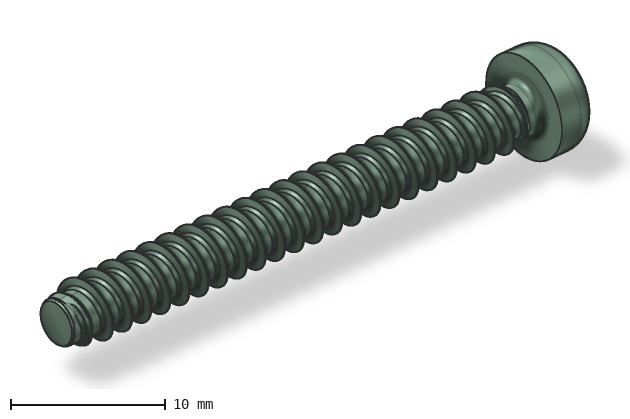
import cadquery as cq
import math

total_length = 43.2
head_radius = 3.75
head_height = 3.25
head_round = head_height / 2

shank_length = total_length - head_height
core_diameter = 3.33
core_radius = core_diameter / 2
tip_radius = 1.55
tip_chamfer_length = 0.2
tip_crown = 0.05

neck_radius = 1.8
neck_length = 1.12
neck_fillet = 0.55
neck_taper_length = 0.17

crest_radius = 2.35
threaded_length = 35.85
thread_turns = 22
pitch = threaded_length / thread_turns
first_crest = 2.85
lead_turns = 2
tail_turns = 1

crest_half_width = 0.05
blade_radius = 1.8
blade_half_width = 0.17
flare_half_width = 0.48
buried_radius = 1.5

tip_runout_start = 0.25
tip_runout_length = 1.95
head_runout_start = 0.5
head_runout_length = 1.85
foot_depth = 0.05
envelope_clearance = 0.45

seam_plane = cq.Plane(origin=(0, 0, 0), xDir=(0, 0, 1), normal=(-1, 0, 0))


def make_body():
    """Head, neck, core and tip as one revolved half section."""
    taper_end = -(neck_length + neck_taper_length)
    tip_edge = tip_crown - shank_length
    crown_middle = tip_crown / 4 - shank_length
    arc_middle = 1 - math.sqrt(0.5)
    fillet_middle = neck_fillet * arc_middle
    round_middle = head_round * arc_middle
    return (
        cq.Workplane(seam_plane)
        .moveTo(0, -shank_length)
        .threePointArc((tip_radius / 2, crown_middle), (tip_radius, tip_edge))
        .lineTo(core_radius, tip_chamfer_length - shank_length)
        .lineTo(core_radius, taper_end)
        .lineTo(neck_radius, -neck_length)
        .lineTo(neck_radius, -neck_fillet)
        .threePointArc((neck_radius + fillet_middle, -fillet_middle), (neck_radius + neck_fillet, 0))
        .lineTo(head_radius, 0)
        .lineTo(head_radius, head_height - head_round)
        .threePointArc(
            (head_radius - round_middle, head_height - round_middle),
            (head_radius - head_round, head_height),
        )
        .lineTo(0, head_height)
        .close()
        .revolve(360, (0, 0, 0), (0, 1, 0))
    )


def make_helical_ridge():
    """Full-height thread ridge, longer than needed at both ends, its root buried in the core."""
    start = first_crest - shank_length - lead_turns * pitch
    height = (lead_turns + thread_turns + tail_turns) * pitch
    slope = (flare_half_width - blade_half_width) / (blade_radius - core_radius)
    buried_half_width = flare_half_width + slope * (core_radius - buried_radius)
    half_section = [
        (buried_radius, buried_half_width),
        (blade_radius, blade_half_width),
        (crest_radius, crest_half_width),
    ]
    section = half_section + [(radius, -width) for radius, width in reversed(half_section)]

    helices = [
        cq.Wire.makeHelix(pitch, height, radius).translate(cq.Vector(0, 0, offset))
        for radius, offset in section
    ]
    faces = [
        cq.Face.makeRuledSurface(helix, next_helix)
        for helix, next_helix in zip(helices, helices[1:] + helices[:1])
    ]
    for end in (0, height):
        corners = [cq.Vector(radius, 0, end + offset) for radius, offset in section]
        faces.append(cq.Face.makeFromWires(cq.Wire.makePolygon(corners, close=True)))
    ridge = cq.Workplane(cq.Solid.makeSolid(cq.Shell.makeShell(faces)))
    return ridge.translate((0, 0, start)).rotate((0, 0, 0), (1, 0, 0), -90)


def make_runout_envelope():
    """Revolved space the thread may fill: full height in the middle, tapering into the core."""
    clear = crest_radius + envelope_clearance
    foot = core_radius - foot_depth
    tip_start = tip_runout_start - shank_length
    head_start = -head_runout_start
    return (
        cq.Workplane(seam_plane)
        .moveTo(0, tip_start)
        .lineTo(foot, tip_start)
        .lineTo(crest_radius, tip_start + tip_runout_length)
        .lineTo(clear, tip_start + tip_runout_length)
        .lineTo(clear, head_start - head_runout_length)
        .lineTo(crest_radius, head_start - head_runout_length)
        .lineTo(foot, head_start)
        .lineTo(0, head_start)
        .close()
        .revolve(360, (0, 0, 0), (0, 1, 0))
    )


thread = make_helical_ridge().intersect(make_runout_envelope())
result = make_body().union(thread)